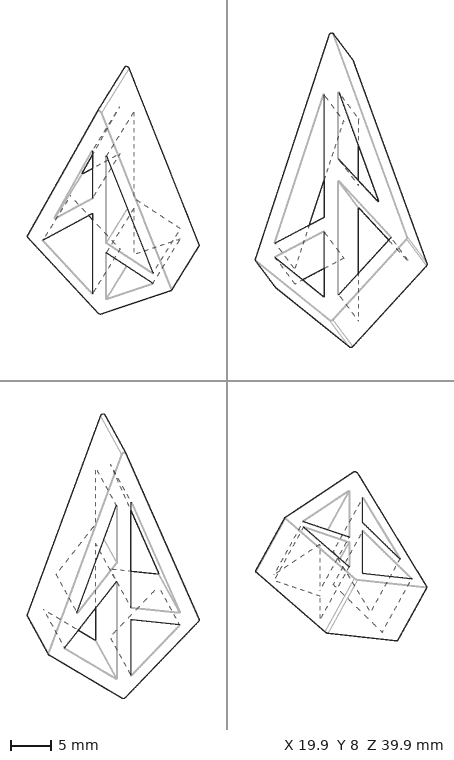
import cadquery as cq

width = 19.92
depth = 8.0
height = 39.85
shoulder_height = 10.0
corner_radius = 0.3
opening_radius = 0.05
edge_radius = 0.08

wall = 1.87
spine_width = 1.87
left_strut_width = 1.87
left_strut_joint = 20.75
left_strut_angle = 52.3
right_strut_width = 1.85
right_strut_joint = 13.5
right_strut_angle = 22.0

cut_length = 2 * height


def kite():
    """Sharp kite that becomes the full outline when offset by corner_radius."""
    half_width = width / 2 - corner_radius
    return (
        cq.Workplane("XZ", origin=(0, depth / 2, 0))
        .moveTo(0, corner_radius)
        .lineTo(half_width, shoulder_height)
        .lineTo(0, height - corner_radius)
        .lineTo(-half_width, shoulder_height)
        .close()
    )


def strut(side, joint_height, angle, thickness):
    """Sloping bar from inside the spine down past the rim; side is -1 or 1."""
    return (
        cq.Workplane("XY")
        .box(2 * width, depth, thickness)
        .translate((width - spine_width, 0, 0))
        .rotate((0, 0, 0), (0, 1, 0), angle if side > 0 else 180 - angle)
        .translate((side * spine_width / 2, 0, joint_height))
    )


def half_openings(side, bar):
    """Two through openings on one side of the spine, with rounded corners."""
    inner = kite().offset2D(corner_radius - wall, "intersection").extrude(depth)
    side_box = (
        cq.Workplane("XY")
        .box(cut_length, cut_length, cut_length)
        .translate((side * (cut_length + spine_width) / 2, 0, 0))
    )
    return inner.intersect(side_box).cut(bar).edges("|Y").fillet(opening_radius)


body = kite().offset2D(corner_radius, "arc").extrude(depth)

left_strut = strut(-1, left_strut_joint, left_strut_angle, left_strut_width)
right_strut = strut(1, right_strut_joint, right_strut_angle, right_strut_width)

body = body.cut(half_openings(-1, left_strut)).cut(half_openings(1, right_strut))

result = body.faces("<Y or >Y").edges().fillet(edge_radius)